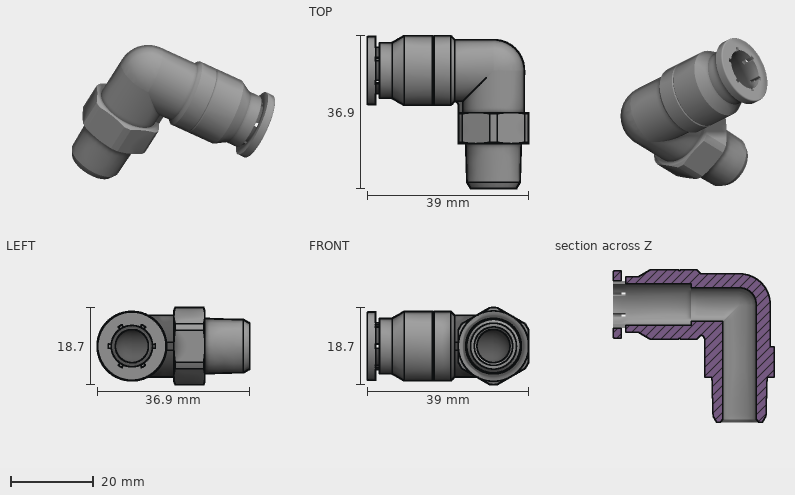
import cadquery as cq

OVERALL_LENGTH = 39.0
OVERALL_WIDTH = 36.9

tube_radius = 14.98 / 2
bore_radius = 8.0 / 2

hex_flats = 17.0
hex_corner_radius = 18.7 / 2
hex_inner_y = -10.15
hex_outer_y = -17.63
hex_chamfer = 0.3
hex_face_radius = hex_flats / 2

socket_radius = 16.8 / 2
collar_radius = 16.5 / 2
collar_neck_radius = 11.35 / 2
sleeve_radius = 13.45 / 2
tube_hole_radius = 10.0 / 2
collar_x = hex_flats / 2 - OVERALL_LENGTH
collar_thickness = 2.03
collar_rounding = 0.3
sleeve_x = -27.57
sleeve_chamfer = 0.15
cone_start_x = -24.5
cone_end_x = -21.6
groove_x = -14.5
groove_width = 0.45
groove_depth = 0.2
socket_chamfer_x = -10.3
socket_end_x = -9.4
tube_hole_end_x = -11.7

slot_count = 6
slot_width = 0.98
slot_end_x = sleeve_x

screw_end_y = socket_radius - OVERALL_WIDTH
screw_start_radius = 13.45 / 2
screw_small_radius = 12.9 / 2
screw_tip_radius = 11.1 / 2
screw_chamfer = 1.55
mouth_radius = 9.3 / 2
mouth_depth = 0.78

rib_thickness = 1.95
rib_edge_x = -hex_flats / 2
rib_fillet = rib_edge_x - socket_end_x


def cylinder_x(radius, start, end):
    return cq.Workplane("YZ").workplane(offset=start).circle(radius).extrude(end - start)


def cylinder_y(radius, start, end):
    """Cylinder on the Y axis, running from start down to end."""
    return cq.Workplane("XZ").workplane(offset=-start).circle(radius).extrude(start - end)


def revolve_y(profile):
    """Turn a closed (radius, y) profile about the Y axis."""
    return cq.Workplane("XY").polyline(profile).close().revolve(360, (0, 0, 0), (0, 1, 0))


def elbow(radius, x_end, y_end):
    """Two legs meeting in a mitre, with a spherical outer corner."""
    socket_leg = cylinder_x(radius, x_end, 0)
    screw_leg = cylinder_y(radius, 0, y_end)
    corner = (
        cq.Workplane("XZ")
        .moveTo(0, -radius)
        .threePointArc((radius, 0), (0, radius))
        .close()
        .revolve(90, (0, 0, 0), (0, 1, 0))
    )
    return socket_leg.union(screw_leg).union(corner)


def socket():
    collar_end_x = collar_x + collar_thickness
    groove_radius = socket_radius - groove_depth
    profile = [
        (collar_end_x, collar_radius),
        (collar_end_x, collar_neck_radius),
        (sleeve_x, collar_neck_radius),
        (sleeve_x, sleeve_radius - sleeve_chamfer),
        (sleeve_x + sleeve_chamfer, sleeve_radius),
        (cone_start_x, sleeve_radius),
        (cone_end_x, socket_radius),
        (groove_x - groove_width / 2, socket_radius),
        (groove_x, groove_radius),
        (groove_x + groove_width / 2, socket_radius),
        (socket_chamfer_x, socket_radius),
        (socket_end_x, tube_radius),
        (socket_end_x, 0),
    ]
    return (
        cq.Workplane("XY")
        .moveTo(collar_x, 0)
        .lineTo(collar_x, collar_radius - collar_rounding)
        .radiusArc((collar_x + collar_rounding, collar_radius), collar_rounding)
        .polyline(profile, includeCurrent=True)
        .close()
        .revolve(360, (0, 0, 0), (1, 0, 0))
    )


def hexagon():
    height = hex_inner_y - hex_outer_y
    prism = (
        cq.Workplane("XZ")
        .workplane(offset=-hex_inner_y)
        .polygon(6, hex_flats, circumscribed=True)
        .extrude(height)
    )
    rounding = revolve_y([
        (0, hex_inner_y),
        (hex_face_radius, hex_inner_y),
        (hex_corner_radius, hex_inner_y - hex_chamfer),
        (hex_corner_radius, hex_outer_y + hex_chamfer),
        (hex_face_radius, hex_outer_y),
        (0, hex_outer_y),
    ])
    return prism.intersect(rounding)


def screw():
    return revolve_y([
        (0, hex_outer_y),
        (screw_start_radius, hex_outer_y),
        (screw_small_radius, screw_end_y + screw_chamfer),
        (screw_tip_radius, screw_end_y),
        (0, screw_end_y),
    ])


def rib():
    """Web in the inner corner, with a concave fillet towards the socket."""
    return (
        cq.Workplane("XY")
        .workplane(offset=-rib_thickness / 2)
        .moveTo(0, hex_inner_y)
        .lineTo(rib_edge_x, hex_inner_y)
        .lineTo(rib_edge_x, -tube_radius - rib_fillet)
        .radiusArc((socket_end_x, -tube_radius), -rib_fillet)
        .lineTo(socket_end_x, 0)
        .lineTo(0, 0)
        .close()
        .extrude(rib_thickness)
    )


def screw_mouth():
    return revolve_y([
        (0, screw_end_y),
        (mouth_radius, screw_end_y),
        (bore_radius, screw_end_y + mouth_depth),
        (0, screw_end_y + mouth_depth),
    ])


def collet_slots():
    """Radial slots crossing the collet wall, each bar cutting two opposite slots."""
    length = slot_end_x - collar_x
    slots = cq.Workplane("XY")
    for index in range(slot_count // 2):
        bar = cq.Workplane("XY").box(length, 2 * collar_neck_radius, slot_width)
        bar = bar.translate((collar_x + length / 2, 0, 0))
        slots = slots.add(bar.rotate((0, 0, 0), (1, 0, 0), index * 360 / slot_count))
    return slots.combine()


outer = elbow(tube_radius, socket_end_x, hex_inner_y)
outer = outer.union(socket()).union(hexagon()).union(screw()).union(rib())

cavity = elbow(bore_radius, tube_hole_end_x, screw_end_y)
tube_hole = cylinder_x(tube_hole_radius, collar_x, tube_hole_end_x)

result = outer.cut(cavity).cut(tube_hole).cut(screw_mouth()).cut(collet_slots())